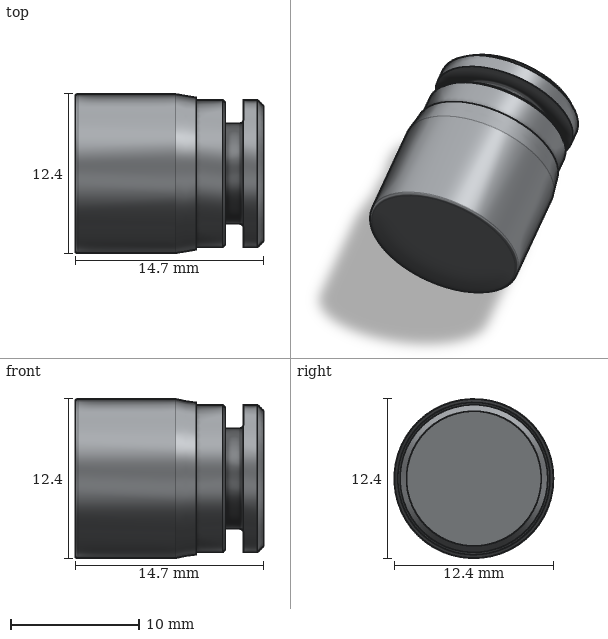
import cadquery as cq


total_length = 14.7
barrel_end = 7.8
taper_end = 9.45
collar_end = 11.7
flange_start = 13.1

barrel_diameter = 12.4
taper_end_diameter = 11.85
collar_diameter = 11.5
neck_diameter = 7.85
flange_diameter = collar_diameter

barrel_edge_fillet = 0.2
collar_chamfer = 0.2
neck_fillet = 0.28
flange_chamfer = 0.5


def disc(start, end, diameter):
    """Cylinder on the X axis from start to end."""
    return cq.Workplane("YZ", origin=(start, 0, 0)).circle(diameter / 2).extrude(end - start)


def make_barrel():
    """Main cylinder with its plain end face rounded at the rim."""
    return disc(0, barrel_end, barrel_diameter).faces("<X").edges().fillet(barrel_edge_fillet)


def make_taper():
    """Cone narrowing from the barrel to the step at the collar."""
    return (
        cq.Workplane("YZ", origin=(barrel_end, 0, 0))
        .circle(barrel_diameter / 2)
        .workplane(offset=taper_end - barrel_end)
        .circle(taper_end_diameter / 2)
        .loft(ruled=True)
    )


def make_collar():
    """Collar behind the step, chamfered on the groove side."""
    return disc(taper_end, collar_end, collar_diameter).faces(">X").edges().chamfer(collar_chamfer)


def make_neck_and_flange():
    """Neck at the bottom of the groove, rounded into a flange with a chamfered outer rim."""
    flange = disc(flange_start, total_length, flange_diameter)
    flange = flange.faces(">X").edges().chamfer(flange_chamfer)
    neck = disc(collar_end, flange_start, neck_diameter)
    root = cq.selectors.RadiusNthSelector(0)
    return neck.union(flange).faces("<X[1]").edges(root).fillet(neck_fillet)


result = make_barrel().union(make_taper()).union(make_collar()).union(make_neck_and_flange())